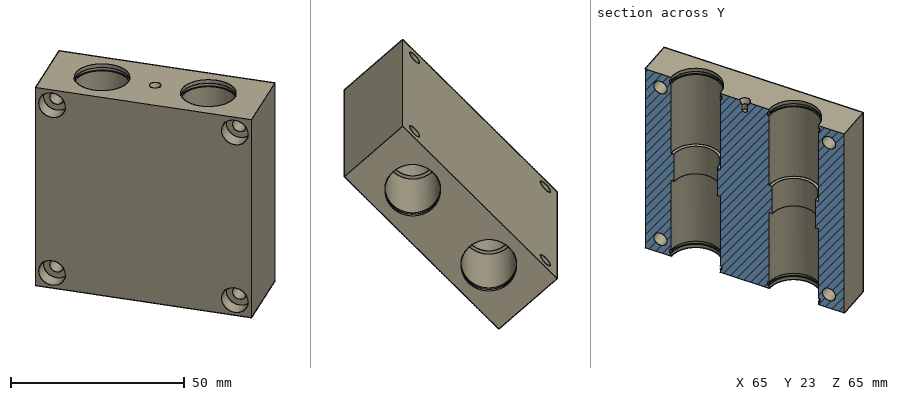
import cadquery as cq
import math

WIDTH = 65.0
THICKNESS = 23.0
HEIGHT = 65.0

BORE_SPACING = 32.0
BORE_DIAMETER = 14.0
SEAT_DIAMETER = 16.0
SEAT_DEPTH = 27.5
RING_GROOVE_DIAMETER = 16.9
RING_GROOVE_START = 1.2
RING_GROOVE_WIDTH = 1.1

SCREW_SPACING = 55.0
SCREW_DIAMETER = 4.2
HEAD_DIAMETER = 8.0
HEAD_DEPTH = 4.6

CENTRE_MOUTH_DIAMETER = 3.35
CENTRE_CONE_ANGLE = 60.0
CENTRE_PILOT_DIAMETER = 1.6
CENTRE_PILOT_DEPTH = 3.5
DRILL_TIP_ANGLE = 120.0


def cylinder_down(x, top_z, diameter, depth):
    """Vertical cylinder on the mid-plane at x, reaching down from top_z."""
    base = cq.Vector(x, 0, top_z - depth)
    return cq.Workplane(cq.Solid.makeCylinder(diameter / 2, depth, base))


def bearing_bore(x):
    """Through bore with a bearing seat and a retaining-ring groove at each end."""
    top = HEIGHT / 2
    seat = cylinder_down(x, top, SEAT_DIAMETER, SEAT_DEPTH)
    groove = cylinder_down(x, top - RING_GROOVE_START, RING_GROOVE_DIAMETER, RING_GROOVE_WIDTH)
    upper_end = seat.union(groove)
    bore = cylinder_down(x, top, BORE_DIAMETER, HEIGHT)
    return bore.union(upper_end).union(upper_end.mirror("XY"))


def cone_length(large_diameter, small_diameter, included_angle):
    """Axial length of a cone between two diameters."""
    return (large_diameter - small_diameter) / 2 / math.tan(math.radians(included_angle / 2))


def centre_hole():
    """Cone narrowing from the top face to a short pilot that ends in a drill tip."""
    pilot_radius = CENTRE_PILOT_DIAMETER / 2
    cone_depth = cone_length(CENTRE_MOUTH_DIAMETER, CENTRE_PILOT_DIAMETER, CENTRE_CONE_ANGLE)
    tip_depth = CENTRE_PILOT_DEPTH + cone_length(CENTRE_PILOT_DIAMETER, 0, DRILL_TIP_ANGLE)
    half_profile = (
        cq.Workplane("XZ", origin=(0, 0, HEIGHT / 2))
        .moveTo(0, 0)
        .lineTo(CENTRE_MOUTH_DIAMETER / 2, 0)
        .lineTo(pilot_radius, -cone_depth)
        .lineTo(pilot_radius, -CENTRE_PILOT_DEPTH)
        .lineTo(0, -tip_depth)
        .close()
    )
    return half_profile.revolve(360, (0, 0, 0), (0, 1, 0))


result = cq.Workplane("XY").box(WIDTH, THICKNESS, HEIGHT)

result = (
    result.faces("<Y")
    .workplane(centerOption="CenterOfBoundBox")
    .rarray(SCREW_SPACING, SCREW_SPACING, 2, 2)
    .cboreHole(SCREW_DIAMETER, HEAD_DIAMETER, HEAD_DEPTH)
)

for side in (-1, 1):
    result = result.cut(bearing_bore(side * BORE_SPACING / 2))

result = result.cut(centre_hole())